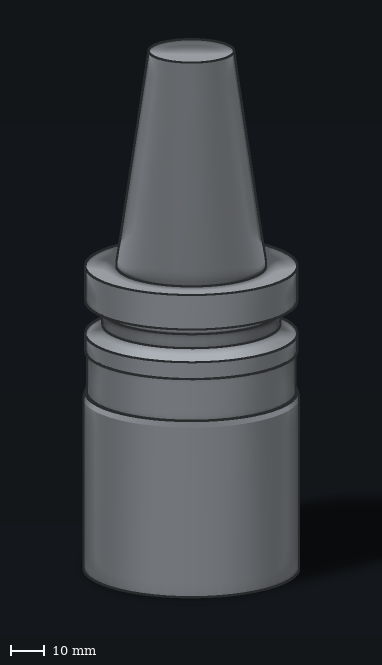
import cadquery as cq
import math

body_diameter = 64.0
body_top_diameter = 63.0
neck_diameter = 62.0
flange_diameter = 63.0
groove_diameter = 53.0
taper_diameter = 44.5

total_height = 159.4
body_top = 52.3
neck_bottom = 54.2
flange_bottom = 67.1
groove_bottom = 75.2
groove_top = 79.5
flange_top = 93.1
taper_base = 94.0

taper_rate = 7 / 24
tip_diameter = taper_diameter - taper_rate * (total_height - taper_base)

groove_wall_angle = math.radians(60)
wall_height = (flange_diameter - groove_diameter) / 2 / math.tan(groove_wall_angle)

profile = [
    (0, 0),
    (body_diameter, 0),
    (body_diameter, body_top),
    (body_top_diameter, neck_bottom),
    (neck_diameter, neck_bottom),
    (neck_diameter, flange_bottom),
    (flange_diameter, flange_bottom),
    (flange_diameter, groove_bottom - wall_height),
    (groove_diameter, groove_bottom),
    (groove_diameter, groove_top),
    (flange_diameter, groove_top + wall_height),
    (flange_diameter, flange_top),
    (taper_diameter, flange_top),
    (taper_diameter, taper_base),
    (tip_diameter, total_height),
    (0, total_height),
]

result = (
    cq.Workplane("XZ")
    .polyline([(diameter / 2, height) for diameter, height in profile])
    .close()
    .revolve(360, (0, 0, 0), (0, 1, 0))
)